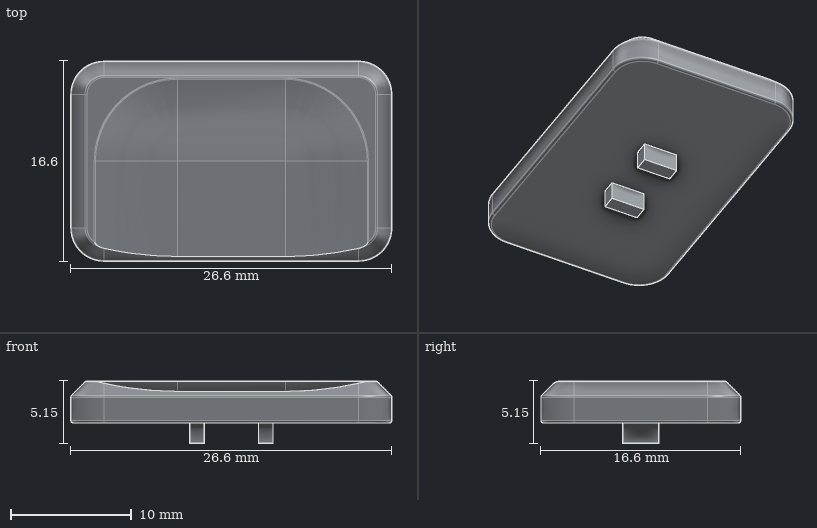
import cadquery as cq
import math

length = 26.55
width = 16.55
body_height = 3.48
corner_radius = 2.75
top_chamfer = 1.25
bottom_fillet = 0.25
edge_fillet = 0.25

dish_center_spacing = 8.92
dish_radius = 6.82
dish_depth = 0.85
rim_fillet = 0.4

leg_size_x = 1.22
leg_size_y = 3.0
leg_height = 1.67
leg_spacing = 5.68


def make_body():
    """Rounded block with a softened 45 degree bevel around the top."""
    body = (
        cq.Workplane("XY")
        .rect(length, width)
        .extrude(body_height)
        .edges("|Z")
        .fillet(corner_radius)
    )
    body = body.faces("<Z").edges().fillet(bottom_fillet)
    body = body.faces(">Z").edges().chamfer(top_chamfer)
    bevel_bottom = body_height - top_chamfer
    half_band = edge_fillet / 2
    bevel_band = cq.selectors.BoxSelector(
        (-length, -width, bevel_bottom - half_band),
        (length, width, bevel_bottom + half_band),
    )
    lower_edges = body.edges(bevel_band)
    upper_edges = body.faces(">Z").edges()
    return lower_edges.add(upper_edges).fillet(edge_fillet)


def dish_profile(plane):
    """Half section of the dish: an arc rising from a level floor to a rounded rim."""
    arc_radius = (dish_radius**2 + dish_depth**2) / (2 * dish_depth)
    floor = body_height - dish_depth
    arc_center_z = floor + arc_radius

    rim_center_z = body_height - rim_fillet
    center_drop = arc_center_z - rim_center_z
    center_distance = arc_radius + rim_fillet
    rim_center_x = math.sqrt(center_distance**2 - center_drop**2)
    rim_angle = math.acos(center_drop / center_distance)

    def on_dish(angle):
        return (arc_radius * math.sin(angle), arc_center_z - arc_radius * math.cos(angle))

    def on_rim(angle):
        return (
            rim_center_x - rim_fillet * math.sin(angle),
            rim_center_z + rim_fillet * math.cos(angle),
        )

    clear_height = body_height + dish_depth
    return (
        plane.moveTo(0, floor)
        .threePointArc(on_dish(rim_angle / 2), on_dish(rim_angle))
        .threePointArc(on_rim(rim_angle / 2), on_rim(0))
        .lineTo(rim_center_x, clear_height)
        .lineTo(0, clear_height)
        .close()
    )


def make_dish():
    """Hollow with revolved back corners, straight sides and a flat middle open at the front."""
    half_spacing = dish_center_spacing / 2
    back = dish_profile(cq.Workplane("YZ", origin=(-half_spacing, 0, 0))).extrude(dish_center_spacing)
    front = (
        cq.Workplane("XY", origin=(0, 0, body_height - dish_depth))
        .rect(dish_center_spacing, width)
        .extrude(2 * dish_depth)
        .translate((0, -width / 2, 0))
    )
    dish = back.union(front)
    right_corner = dish_profile(cq.Workplane("XZ")).revolve(90, (0, 0), (0, 1))
    right_side = dish_profile(cq.Workplane("XZ")).extrude(width)
    for half in (right_corner, right_side):
        right = half.translate((half_spacing, 0, 0))
        dish = dish.union(right).union(right.mirror("YZ"))
    return dish


def make_legs():
    """Two rectangular legs hanging from the bottom face."""
    return (
        cq.Workplane("XY")
        .pushPoints([(-leg_spacing / 2, 0), (leg_spacing / 2, 0)])
        .rect(leg_size_x, leg_size_y)
        .extrude(-leg_height)
    )


result = make_body().cut(make_dish()).union(make_legs())